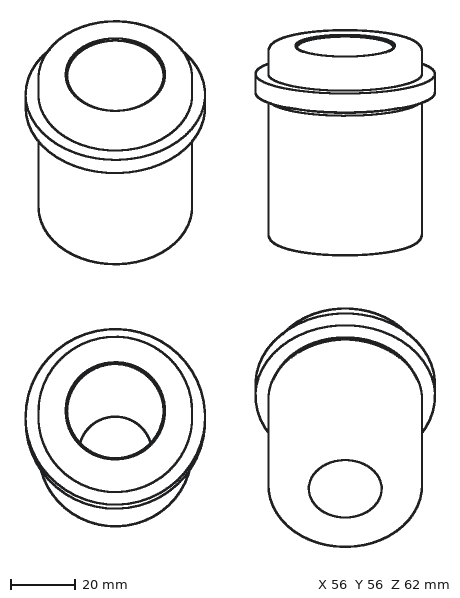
import cadquery as cq

height = 62.0
body_diameter = 48.0
flange_diameter = 56.0
edge_radius = 2.0

flange_top = height - 9.0
flange_thickness = 6.0
flange_bottom = flange_top - flange_thickness
groove_width = 2.0
groove_depth = 0.75
groove_bottom = flange_bottom - groove_width
groove_chamfer = groove_depth

bore_top_diameter = 30.0
bore_bottom_diameter = 22.7
bore_chamfer = 0.5


def make_body():
    """Plain cylinder with rounded top and bottom rims."""
    body = cq.Workplane("XY").circle(body_diameter / 2).extrude(height)
    return body.edges().fillet(edge_radius)


def make_flange():
    flange = cq.Workplane("XY").workplane(offset=flange_bottom)
    return flange.circle(flange_diameter / 2).extrude(flange_thickness)


def make_groove():
    """Ring cut below the flange, with a 45 degree lower wall."""
    outer = body_diameter / 2
    inner = outer - groove_depth
    profile = [
        (inner, flange_bottom),
        (outer, flange_bottom),
        (outer, groove_bottom),
        (inner, groove_bottom + groove_chamfer),
    ]
    return cq.Workplane("XZ").polyline(profile).close().revolve(360, (0, 0, 0), (0, 1, 0))


def make_bore():
    top_radius = bore_top_diameter / 2
    profile = [
        (0, 0),
        (bore_bottom_diameter / 2, 0),
        (top_radius, height - bore_chamfer),
        (top_radius + bore_chamfer, height),
        (0, height),
    ]
    return cq.Workplane("XZ").polyline(profile).close().revolve(360, (0, 0, 0), (0, 1, 0))


result = make_body().cut(make_groove()).union(make_flange()).cut(make_bore())